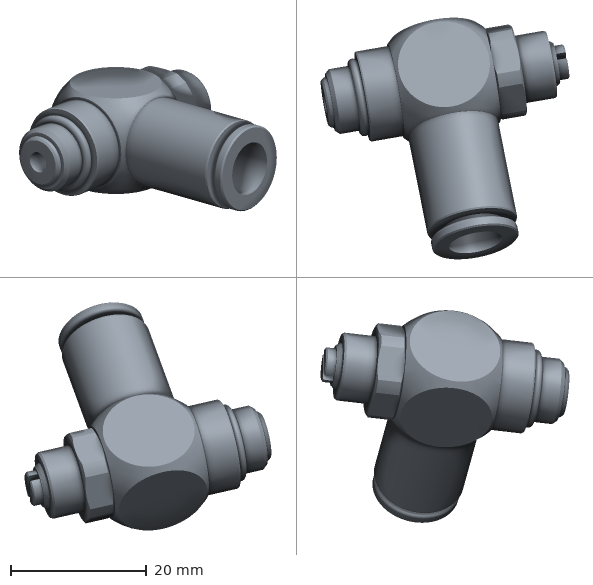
import cadquery as cq
import math


overall_width = 33.2
overall_length = 36.25

body_width = 15.0
body_length = 14.43
flat_radius = 6.78
sphere_radius = math.hypot(body_width / 2, flat_radius)

socket_radius = 6.75
socket_end = 23.05
socket_bevel_length = 0.25
socket_bevel_width = 0.1
collar_neck_radius = 4.6
collar_radius = 6.5
collar_start = 24.15
collar_end = overall_width - body_width / 2
collar_round = 0.45
collar_chamfer = 0.2

hex_across_flats = 13.0
hex_corner_radius = 7.0
hex_end = 11.25
hex_chamfer_angle = 30

housing_radius = 5.05
housing_end = 16.1
housing_bevel_height = 0.33
housing_bevel_width = 0.18
seat_end = 16.9
seat_outline = [(3.48, housing_end), (3.4, 16.35), (3.25, 16.55), (3.08, 16.8), (3.0, seat_end)]
screw_radius = 2.57
screw_end = 18.38
screw_chamfer = 0.2
slot_width = 0.95

shoulder_radius = 6.75
shoulder_end = 12.2
shoulder_bevel_height = 0.2
shoulder_bevel_width = 0.1
ring_outer_radius = 5.8
ring_wire_radius = 0.7
neck_radius = 4.7
thread_radius = 4.85
thread_start = 13.52
thread_lead_in = 0.18
thread_taper_start = 16.42
thread_end = 17.05
thread_end_radius = 4.3
tip_end = overall_length - screw_end
tip_neck_radius = 3.7
tip_lip_start = 17.2
tip_outline = [
    (tip_neck_radius, -thread_end),
    (tip_neck_radius, -tip_lip_start),
    (3.8, -tip_lip_start),
    (3.65, -17.58),
    (3.37, -tip_end),
]

bore_radius = 1.55
passage_radius = 4.0


def turned(profile):
    """Solid turned about the Y axis from (radius, Y) points."""
    return cq.Workplane("XY").polyline(profile).close().revolve(360, (0, 0), (0, 1))


def stem_cylinder(start, radius, end):
    """Cylinder on the Y axis between two Y positions."""
    return turned([(0, start), (radius, start), (radius, end), (0, end)])


def socket_cylinder(start, radius, end):
    """Cylinder on the X axis between two X positions."""
    return cq.Workplane("YZ").workplane(offset=start).circle(radius).extrude(end - start)


def make_body():
    block = cq.Workplane("XY").box(body_width, body_length, body_width)
    return block.intersect(cq.Workplane("XY").sphere(sphere_radius))


def make_socket():
    tube = socket_cylinder(0, socket_radius, socket_end)
    tube = tube.faces(">X").edges().chamfer(socket_bevel_length, socket_bevel_width)
    neck = socket_cylinder(0, collar_neck_radius, collar_end)
    collar = socket_cylinder(collar_start, collar_radius, collar_end)
    collar = collar.faces("<X").edges().fillet(collar_round)
    collar = collar.faces(">X").edges().chamfer(collar_chamfer)
    return tube.union(neck).union(collar)


def make_hex():
    """Hexagon with two flats facing +Z and -Z, its corners turned round and chamfered."""
    start = body_length / 2
    across_corners = hex_across_flats / math.cos(math.pi / 6)
    hexagon = (
        cq.Workplane("XZ", origin=(0, start, 0))
        .polygon(6, across_corners)
        .extrude(start - hex_end)
    )
    end_radius = hex_across_flats / 2
    bevel = (hex_corner_radius - end_radius) * math.tan(math.radians(hex_chamfer_angle))
    envelope = turned([
        (0, start),
        (end_radius, start),
        (hex_corner_radius, start + bevel),
        (hex_corner_radius, hex_end - bevel),
        (end_radius, hex_end),
        (0, hex_end),
    ])
    return hexagon.intersect(envelope)


def make_adjuster():
    housing = turned([
        (0, 0),
        (housing_radius, 0),
        (housing_radius, housing_end - housing_bevel_height),
        (housing_radius - housing_bevel_width, housing_end),
        (0, housing_end),
    ])
    seat = turned([(0, housing_end), *seat_outline, (0, seat_end)])
    screw = stem_cylinder(seat_end, screw_radius, screw_end).faces(">Y").edges().chamfer(screw_chamfer)
    slot = cq.Workplane("XY").box(slot_width, screw_end - seat_end, 2 * screw_radius)
    screw = screw.cut(slot.translate((0, (seat_end + screw_end) / 2, 0)))
    return housing.union(seat).union(screw)


def make_shoulder():
    """Round shoulder under the body with a fine bevel at each end."""
    start = body_length / 2
    bevel_radius = shoulder_radius - shoulder_bevel_width
    return turned([
        (0, -start),
        (bevel_radius, -start),
        (shoulder_radius, -start - shoulder_bevel_height),
        (shoulder_radius, -shoulder_end + shoulder_bevel_height),
        (bevel_radius, -shoulder_end),
        (0, -shoulder_end),
    ])


def make_seal_ring():
    center = cq.Vector(0, -thread_start + ring_wire_radius, 0)
    y_axis = cq.Vector(0, 1, 0)
    return cq.Solid.makeTorus(ring_outer_radius - ring_wire_radius, ring_wire_radius, center, y_axis)


def make_threaded_end():
    neck = stem_cylinder(-thread_start, neck_radius, -shoulder_end)
    thread = turned([
        (0, -thread_start),
        (thread_radius - thread_lead_in, -thread_start),
        (thread_radius, -thread_start - thread_lead_in),
        (thread_radius, -thread_taper_start),
        (thread_end_radius, -thread_end),
        (0, -thread_end),
    ])
    tip = turned([(0, -thread_end), *tip_outline, (0, -tip_end)])
    return neck.union(make_seal_ring()).union(thread).union(tip)


def make_flow_path():
    """Inlet bore from the threaded end, meeting a round-bottomed passage out of the socket."""
    inlet = stem_cylinder(-tip_end, bore_radius, 0)
    passage = socket_cylinder(0, passage_radius, collar_end)
    return inlet.union(passage).union(cq.Workplane("XY").sphere(passage_radius))


result = (
    make_body()
    .union(make_socket())
    .union(make_hex())
    .union(make_adjuster())
    .union(make_shoulder())
    .union(make_threaded_end())
    .cut(make_flow_path())
)